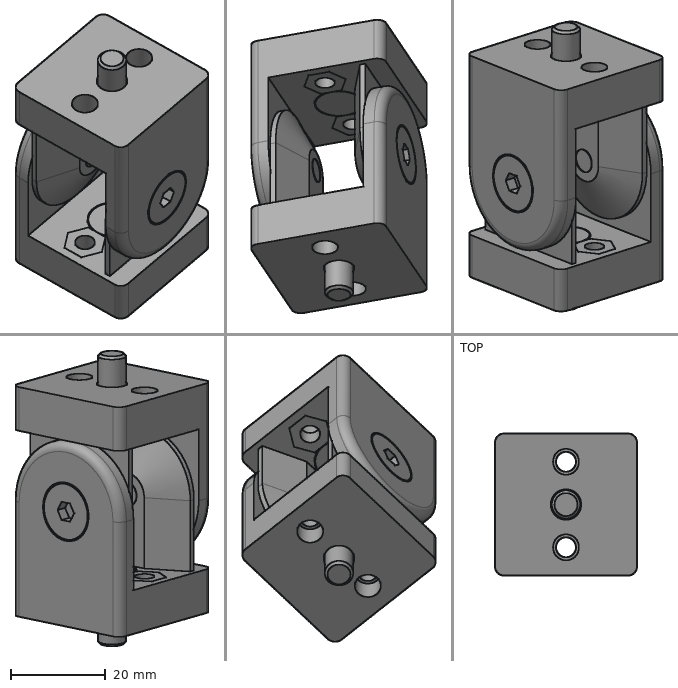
import cadquery as cq
import math


width = 30.0
half_width = width / 2
corner_radius = 2.0
base_thickness = 9.5
floor_depth = 15.45
wall_thickness = 4.4
wall_inner_x = half_width - wall_thickness

arm_rim_radius = 13.7
arm_tip_radius = 4.55
arm_rim_thickness = 1.2
arm_face_x = 5.1

pivot_screw_length = 10.0
pivot_shank_diameter = 5.0
pivot_head_diameter = 12.05
socket_across_flats = 4.0
socket_depth = 2.45

clamp_screw_reach = 31.5
clamp_shank_diameter = 6.0
clamp_head_diameter = 9.95
clamp_head_height = clamp_shank_diameter
clamp_tip_chamfer = 0.55

pivot_clearance_diameter = 5.5
countersink_diameter = 12.65
clamp_clearance_diameter = 6.4
counterbore_diameter = 10.35

nut_across_flats = 8.0
nut_height = 4.0
nut_bore_diameter = 4.15
nut_hole_diameter = 5.5
nut_offset = 9.0

floor_z = -floor_depth
base_z = floor_z - base_thickness
nut_positions = [(0, -nut_offset), (0, nut_offset)]


def hexagon_diameter(across_flats):
    """Corner-to-corner size of a regular hexagon."""
    return across_flats / math.cos(math.pi / 6)


def revolve_about_z(profile):
    """Solid of revolution from (radius, z) points."""
    return cq.Workplane("XZ").polyline(profile).close().revolve(360, (0, 0, 0), (0, 1, 0))


def half_turn(body):
    """Carry a lower-half body to its place in the upper half."""
    return body.rotate((0, 0, 0), (0, 1, 0), 180)


def make_base():
    return (
        cq.Workplane("XY", origin=(0, 0, base_z))
        .rect(width, width)
        .extrude(base_thickness)
        .edges("|Z")
        .fillet(corner_radius)
    )


def make_outer_wall():
    """Wall on the -X side with a round top and a rounded outer rim."""
    return (
        cq.Workplane("YZ", origin=(-half_width, 0, 0))
        .moveTo(-half_width, base_z)
        .lineTo(-half_width, 0)
        .threePointArc((0, half_width), (half_width, 0))
        .lineTo(half_width, base_z)
        .close()
        .extrude(wall_thickness)
        .faces("<X")
        .edges("not <Z")
        .fillet(corner_radius)
    )


def make_inner_arm():
    """Arm on the +X side: a tapered prism below the pivot axis and a cone of the same section on it."""
    taper_start_x = wall_inner_x - arm_rim_thickness
    half_section = [
        (wall_inner_x, 0),
        (wall_inner_x, arm_rim_radius),
        (taper_start_x, arm_rim_radius),
        (arm_face_x, arm_tip_radius),
        (arm_face_x, 0),
    ]
    cone = cq.Workplane("XY").polyline(half_section).close().revolve(360, (0, 0, 0), (1, 0, 0))
    half_prism = cq.Workplane("XY").polyline(half_section).close().extrude(floor_z)
    prism = half_prism.union(half_prism.mirror("XZ"))
    return cone.union(prism)


def make_nut_blanks():
    """Solid hexagons in the places of the nuts, with corners pointing along X."""
    return (
        cq.Workplane("XY", origin=(0, 0, floor_z))
        .pushPoints(nut_positions)
        .polygon(6, hexagon_diameter(nut_across_flats))
        .extrude(-nut_height)
    )


def make_countersunk_hole():
    """Cutter along -Z for the loose hole of the pivot screw, with its mouth at the origin."""
    mouth_radius = countersink_diameter / 2
    clearance_radius = pivot_clearance_diameter / 2
    profile = [
        (0, 0),
        (mouth_radius, 0),
        (clearance_radius, clearance_radius - mouth_radius),
        (clearance_radius, -wall_thickness),
        (0, -wall_thickness),
    ]
    return revolve_about_z(profile)


def make_counterbored_hole():
    """Cutter along -Z for the loose hole of the clamp screw, with its mouth at the origin."""
    counterbore = cq.Workplane("XY").circle(counterbore_diameter / 2).extrude(-clamp_head_height)
    clearance = cq.Workplane("XY").circle(clamp_clearance_diameter / 2).extrude(-base_thickness)
    return counterbore.union(clearance)


def place_at_pivot(body):
    """Turn a body lying along -Z so that it enters the outer wall from the -X side."""
    return body.rotate((0, 0, 0), (0, 1, 0), -90).translate((-half_width, 0, 0))


def place_in_floor(body):
    """Move a body lying along -Z so that it enters the base from its inner floor."""
    return body.translate((0, 0, floor_z))


def make_bracket():
    body = make_base().union(make_outer_wall()).union(make_inner_arm())
    arm_hole = cq.Workplane("YZ").circle(pivot_shank_diameter / 2).extrude(wall_inner_x)
    nut_holes = (
        cq.Workplane("XY", origin=(0, 0, base_z))
        .pushPoints(nut_positions)
        .circle(nut_hole_diameter / 2)
        .extrude(base_thickness)
    )
    return (
        body.cut(place_at_pivot(make_countersunk_hole()))
        .cut(place_in_floor(make_counterbored_hole()))
        .cut(arm_hole)
        .cut(nut_holes)
        .cut(make_nut_blanks())
    )


def make_pivot_screw():
    head_radius = pivot_head_diameter / 2
    shank_radius = pivot_shank_diameter / 2
    profile = [
        (0, 0),
        (head_radius, 0),
        (shank_radius, shank_radius - head_radius),
        (shank_radius, -pivot_screw_length),
        (0, -pivot_screw_length),
    ]
    socket = (
        cq.Workplane("XY")
        .polygon(6, hexagon_diameter(socket_across_flats))
        .extrude(-socket_depth)
        .rotate((0, 0, 0), (0, 0, 1), 90)
    )
    return place_at_pivot(revolve_about_z(profile).cut(socket))


def make_clamp_screw():
    head_radius = clamp_head_diameter / 2
    shank_radius = clamp_shank_diameter / 2
    length = clamp_screw_reach - floor_depth
    profile = [
        (0, 0),
        (head_radius, 0),
        (head_radius, -clamp_head_height),
        (shank_radius, -clamp_head_height),
        (shank_radius, clamp_tip_chamfer - length),
        (shank_radius - clamp_tip_chamfer, -length),
        (0, -length),
    ]
    return place_in_floor(revolve_about_z(profile))


def make_nuts():
    bores = (
        cq.Workplane("XY", origin=(0, 0, floor_z))
        .pushPoints(nut_positions)
        .circle(nut_bore_diameter / 2)
        .extrude(-nut_height)
    )
    return make_nut_blanks().cut(bores)


lower_bodies = [
    make_bracket().val(),
    make_pivot_screw().val(),
    make_clamp_screw().val(),
    *make_nuts().vals(),
]
upper_bodies = [half_turn(body) for body in lower_bodies]

result = cq.Compound.makeCompound([*lower_bodies, *upper_bodies])